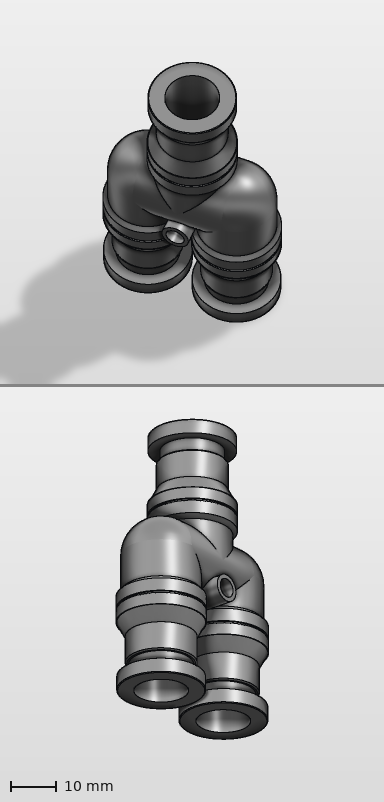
import cadquery as cq

height = 64.8
mid_height = height / 2
leg_spacing = 21.0
leg_x = leg_spacing / 2
body_diameter = 17.8
body_radius = body_diameter / 2
seam_angle = 50

flange_radius = 19.5 / 2
neck_radius = 14.25 / 2
sleeve_radius = 15.8 / 2
collar_radius = 19.8 / 2
cone_radius = 19.5 / 2
groove_radius = 19.05 / 2
bore_diameter = 12.0

flange_end = 3.4
neck_end = 6.4
sleeve_end = 13.0
cone_end = 16.45
groove_start = 19.2
groove_end = 19.7
collar_end = 22.7
shoulder_end = 23.65
bore_depth = 19.45
flange_edge = 0.2
sleeve_edge = 0.3

boss_diameter = 6.3
boss_hole_diameter = 4.3
boss_length = 2 * collar_radius
boss_z = 25.5


def bottom_coupling(x):
    """Turned coupling and body pipe rising from z = 0 to the middle height."""
    outline = [
        (0, 0),
        (flange_radius - flange_edge, 0),
        (flange_radius, flange_edge),
        (flange_radius, flange_end),
        (neck_radius, flange_end),
        (neck_radius, neck_end),
        (sleeve_radius - sleeve_edge, neck_end),
        (sleeve_radius, neck_end + sleeve_edge),
        (sleeve_radius, sleeve_end),
        (cone_radius, cone_end),
        (collar_radius, cone_end),
        (collar_radius, groove_start),
        (groove_radius, groove_start),
        (groove_radius, groove_end),
        (collar_radius, groove_end),
        (collar_radius, collar_end),
        (body_radius, shoulder_end),
        (body_radius, mid_height),
        (0, mid_height),
    ]
    turned = cq.Workplane("XZ").polyline(outline).close().revolve(360, (0, 0), (0, 1))
    return turned.translate((x, 0, 0))


def bottom_bore(x):
    """Blind bore entering a coupling from z = 0."""
    return cq.Workplane("XY").center(x, 0).circle(bore_diameter / 2).extrude(bore_depth)


def turned_to_top(shape):
    """Flip a shape about the X axis at the middle height."""
    return shape.rotate((0, 0, mid_height), (1, 0, mid_height), 180)


def cross_cylinder(diameter):
    """Cylinder along Y at the pin height, centred on the part."""
    return (
        cq.Workplane("XZ", origin=(0, 0, boss_z))
        .circle(diameter / 2)
        .extrude(boss_length / 2, both=True)
    )


def crossing_pipe():
    """Horizontal pipe between the leg axes, its surface seam turned clear of the other pipes' corners."""
    pipe = cq.Workplane("YZ").circle(body_radius).extrude(leg_x, both=True)
    return pipe.rotate((0, 0, 0), (1, 0, 0), seam_angle).translate((0, 0, mid_height))


def elbow(side):
    """Quarter sphere closing the pipe above a leg; side is -1 or 1."""
    quarter_sphere = cq.Workplane("XY").sphere(body_radius, angle1=0, angle2=90, angle3=180)
    turn = -side * 90
    return quarter_sphere.rotate((0, 0, 0), (0, 0, 1), turn).translate((side * leg_x, 0, mid_height))


result = crossing_pipe().union(turned_to_top(bottom_coupling(0)))
for side in (-1, 1):
    result = result.union(bottom_coupling(side * leg_x))
    result = result.union(elbow(side))

result = result.union(cross_cylinder(boss_diameter))
result = result.cut(cross_cylinder(boss_hole_diameter))

for x in (-leg_x, leg_x):
    result = result.cut(bottom_bore(x))
result = result.cut(turned_to_top(bottom_bore(0)))